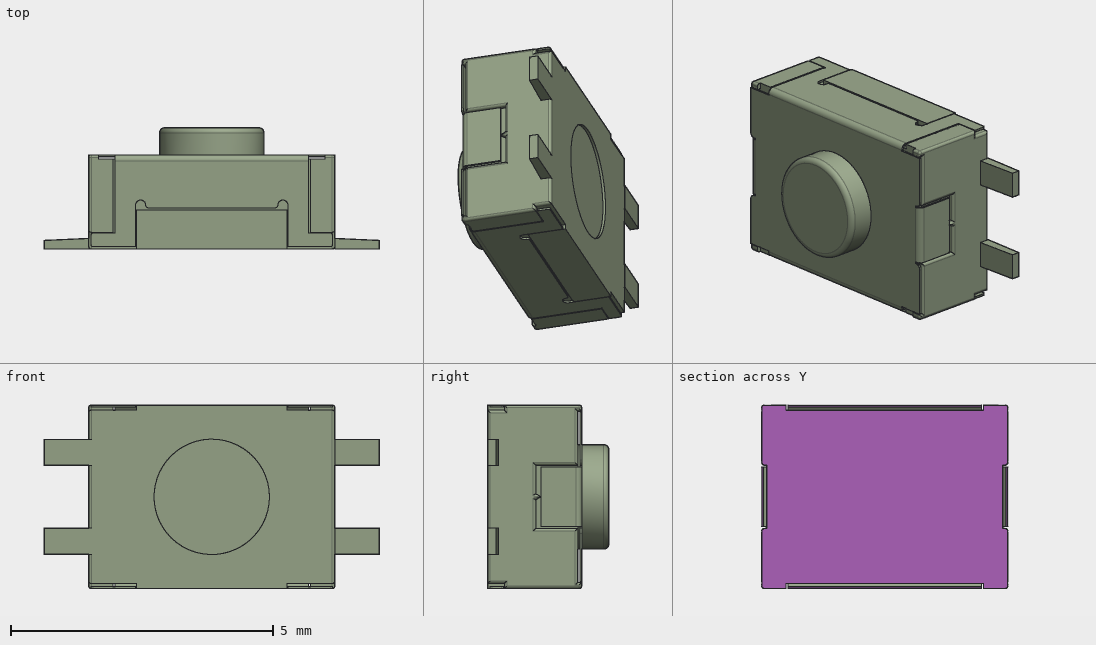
import cadquery as cq


total_length = 6.4
total_height = 2.32
housing_half_x = 2.35
body_width = 3.5
body_half_z = body_width / 2
housing_top = 1.72
edge_radius = 0.05

cover_top = 1.8
sheet = 0.04
bend_radius = 0.115
strap_half_x = 1.85
foot_half_x = 2.305
foot_bottom = 0.045
foot_top = 0.31
foot_corner_radius = 0.04
window_half_x = 1.45
window_top = 0.79
relief_radius = 0.095
relief_top = 0.935
relief_fillet = 0.05
plate_half_z = 1.62
tab_half_z = 0.57
tab_end = 1.02
slit_width = 0.025
slit_corner_radius = 0.1

recess_depth = 0.095
strap_recess_half_x = 1.88
foot_recess_top = 0.32
boss_half_x = 1.44
boss_top = 0.75
notch_half_z = 0.6
notch_bottom = 0.92
rib_half_z = 0.06
post_length = 0.19
post_bottom_z = 1.63

base_recess_radius = 1.1
base_recess_depth = 0.05

button_radius = 1.0
button_fillet = 0.1

lead_width = 0.5
lead_pitch = 1.695
lead_tip_height = 0.165
lead_root_height = 0.205
lead_embed = 0.13
lead_centers_z = (-lead_pitch / 2, lead_pitch / 2)


def block(x0, x1, y0, y1, z0, z1):
    """Box between the given limits."""
    return cq.Workplane("XY").box(x1 - x0, y1 - y0, z1 - z0, centered=False).translate((x0, y0, z0))


def cylinder_y(radius, y0, y1):
    """Cylinder on the Y axis between two heights."""
    return cq.Workplane("XZ", origin=(0, y0, 0)).circle(radius).extrude(y0 - y1)


def both_z(shape):
    """Shape together with its mirror image about Z = 0."""
    return shape.union(shape.mirror("XY"))


def both_x(shape):
    """Shape together with its mirror image about X = 0."""
    return shape.union(shape.mirror("YZ"))


def lead(root_x, z_center):
    """Lead on the +X side, tapering from the housing wall to its tip."""
    tip_x = total_length / 2
    slope = (lead_root_height - lead_tip_height) / (tip_x - housing_half_x)
    root_height = lead_tip_height + slope * (tip_x - root_x)
    profile = [(root_x, 0), (tip_x, 0), (tip_x, lead_tip_height), (root_x, root_height)]
    start_z = z_center - lead_width / 2
    return cq.Workplane("XY", origin=(0, 0, start_z)).polyline(profile).close().extrude(lead_width)


def corner_posts():
    """Four posts on top of the housing corners, level with the cover."""
    post = block(
        housing_half_x - post_length, housing_half_x,
        housing_top - edge_radius, cover_top,
        post_bottom_z, body_half_z,
    )
    return both_z(both_x(post))


def cover_recesses():
    """T-shaped recesses on the +Z and -Z walls, around a central boss."""
    floor_z = body_half_z - recess_depth
    strap = block(-strap_recess_half_x, strap_recess_half_x, 0, housing_top, floor_z, body_half_z)
    feet = block(-housing_half_x, housing_half_x, 0, foot_recess_top, floor_z, body_half_z)
    boss = block(-boss_half_x, boss_half_x, 0, boss_top, floor_z, body_half_z)
    return both_z(strap.union(feet).cut(boss))


def tab_notches():
    """Notches on the +X and -X walls, each with a pointed rib under the tab."""
    floor_x = housing_half_x - recess_depth
    notch = block(floor_x, housing_half_x, notch_bottom, housing_top, -notch_half_z, notch_half_z)
    rib = (
        cq.Workplane("YZ", origin=(floor_x, 0, 0))
        .polyline([(notch_bottom, -rib_half_z), (tab_end, 0), (notch_bottom, rib_half_z)])
        .close()
        .extrude(recess_depth)
    )
    return both_x(notch.cut(rib))


def make_housing():
    """Moulded housing with its two -X leads in one piece."""
    body = block(-housing_half_x, housing_half_x, 0, housing_top, -body_half_z, body_half_z)
    body = body.union(corner_posts())
    body = body.cut(cover_recesses()).cut(tab_notches())
    post_edges = cq.selectors.BoxSelector(
        (-total_length, cover_top - edge_radius / 2, -total_length),
        (total_length, total_height, total_length),
    )
    body = body.edges(post_edges).edges("|X").edges("<Z or >Z").fillet(edge_radius)
    body = body.faces("<X or >X").edges().fillet(edge_radius)
    body = body.cut(cylinder_y(base_recess_radius, 0, base_recess_depth))
    for z_center in lead_centers_z:
        body = body.union(lead(housing_half_x - lead_embed, z_center).mirror("YZ"))
    return body


def bent_sheet(half_span, half_width, end_y):
    """U-shaped sheet: plate on top, a leg bent down at each end of the span.

    The span runs along X and the width along Z.
    """
    outer = block(-half_span, half_span, end_y, cover_top, -half_width, half_width)
    outer = outer.edges("|Z and >Y").fillet(bend_radius)
    inner_span = half_span - sheet
    inner = block(-inner_span, inner_span, end_y, cover_top - sheet, -half_width, half_width)
    inner = inner.edges("|Z and >Y").fillet(bend_radius - sheet)
    return outer.cut(inner)


def top_plate():
    """Flat plate with rounded corners beside the slits next to the side tabs."""
    plate = block(
        -housing_half_x, housing_half_x, cover_top - sheet, cover_top, -plate_half_z, plate_half_z
    )
    slit_z = tab_half_z + slit_width
    slit_x = housing_half_x - bend_radius
    opening = block(slit_x, housing_half_x, cover_top - sheet, cover_top, -slit_z, slit_z)
    plate = plate.cut(both_x(opening))
    slit_corners = cq.selectors.BoxSelector(
        (-total_length, 0, -slit_z - slit_width), (total_length, total_height, slit_z + slit_width)
    )
    outer_corners = plate.edges("|Y").edges(slit_corners).edges("<X or >X")
    return outer_corners.fillet(slit_corner_radius)


def leg_window():
    """Opening in a cover leg around the boss, with a round relief at each top corner."""
    relief_x = window_half_x - relief_radius
    relief_y = relief_top - relief_radius
    slot = block(-window_half_x, window_half_x, 0, window_top, 0, body_half_z)
    for side in (-1, 1):
        relief = cq.Workplane("XY").center(side * relief_x, relief_y).circle(relief_radius)
        side_x0, side_x1 = sorted((side * relief_x, side * window_half_x))
        slot = slot.union(relief.extrude(body_half_z))
        slot = slot.union(block(side_x0, side_x1, 0, relief_y, 0, body_half_z))
    inner_corners = cq.selectors.BoxSelector(
        (-relief_x, window_top - sheet, 0), (relief_x, window_top + sheet, body_half_z)
    )
    return slot.edges("|Z").edges(inner_corners).fillet(relief_fillet)


def make_cover():
    """Sheet-metal cover: plate, two legs with feet, two side tabs and the button hole."""
    straps = bent_sheet(body_half_z, strap_half_x, foot_bottom).rotate((0, 0, 0), (0, 1, 0), 90)
    tabs = bent_sheet(housing_half_x, tab_half_z, tab_end)
    foot = block(-foot_half_x, foot_half_x, foot_bottom, foot_top, body_half_z - sheet, body_half_z)
    foot = foot.edges("|Z").fillet(foot_corner_radius)
    cover = top_plate().union(straps).union(tabs).union(both_z(foot))
    cover = cover.cut(both_z(leg_window()))
    return cover.cut(cylinder_y(button_radius, housing_top, total_height))


def make_button():
    """Round button standing on the housing and rising through the cover."""
    return cylinder_y(button_radius, housing_top, total_height).faces(">Y").edges().fillet(button_fillet)


housing = make_housing()
cover = make_cover()
button = make_button()
right_leads = [lead(housing_half_x, z_center) for z_center in lead_centers_z]

result = cq.Compound.makeCompound(
    [housing.val(), cover.val(), button.val(), *[right_lead.val() for right_lead in right_leads]]
)